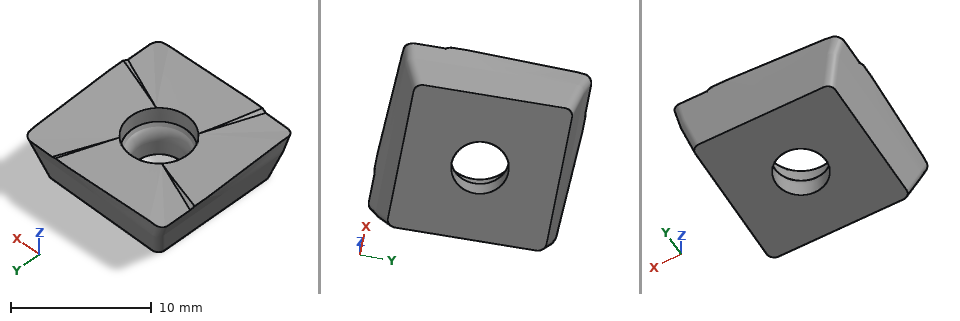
import cadquery as cq
import math

side_count = 4
height = 4.14
waist_height = 2.58
base_half_width = 5.72
waist_half_width = 6.45
base_corner_radius = 0.63
top_corner_radius = 0.7

top_half_width = 7.01
kink_offset = -2.1
lean_end_half_width = 6.65

dish_depth = 0.24
rim_height = height - dish_depth

rim_radius = 2.8
seat_wall_radius = 2.72
seat_radius = 2.52
bore_radius = 2.05
wall_depth = 1.29
seat_depth = 1.6
bore_depth = 2.57

relief_apex_x = -1.82
relief_apex_y = -2.1
relief_outer_y = -7.71
relief_floor_height = 3.98
relief_wall_top_height = 4.36
relief_wall_left_x = -10.1
relief_floor_left_x = -7.01
relief_floor_right_x = -4.07
relief_wall_right_x = -3.11


def rounded_outline(half_width, corner_x, middle_x, radius, z):
    """Make a four-sided outline with a point along each side and rounded corners."""
    points = []
    corners = []
    x, y = corner_x, -half_width
    middle = (middle_x, -half_width)
    for _ in range(side_count):
        points += [cq.Vector(x, y, z), cq.Vector(*middle, z)]
        corners.append(cq.Vector(x, y, z))
        x, y = -y, x
        middle = (-middle[1], middle[0])
    wire = cq.Wire.makePolygon(points, close=True)
    tolerance = 1.4e-05
    corner_vertices = [
        vertex
        for vertex in wire.Vertices()
        if any((vertex.Center() - corner).Length < tolerance for corner in corners)
    ]
    return wire.fillet2D(radius, corner_vertices)


def make_top_outline():
    return rounded_outline(
        top_half_width, -lean_end_half_width, kink_offset, top_corner_radius, height
    )


def make_body():
    base = rounded_outline(base_half_width, -base_half_width, 0, base_corner_radius, 0)
    waist = rounded_outline(
        waist_half_width, -waist_half_width, 0, base_corner_radius, waist_height
    )
    lower = cq.Solid.makeLoft([base, waist], True)
    upper = cq.Solid.makeLoft([waist, make_top_outline()], True)
    return cq.Workplane(obj=lower).union(cq.Workplane(obj=upper))


def rim_point(angle):
    return cq.Vector(rim_radius * math.cos(angle), rim_radius * math.sin(angle), rim_height)


def make_dish():
    """Loft from the top outline to a rim divided into arcs facing the outline's edges."""
    outline = make_top_outline()
    arcs = []
    for edge in outline.Edges():
        start, end = edge.startPoint(), edge.endPoint()
        start_angle = math.atan2(start.y, start.x)
        sweep = math.remainder(math.atan2(end.y, end.x) - start_angle, 2 * math.pi)
        arc_points = [rim_point(start_angle + sweep * part) for part in (0, 0.5, 1)]
        arcs.append(cq.Edge.makeThreePointArc(*arc_points))
    rim = cq.Wire.assembleEdges(arcs)
    return cq.Workplane(obj=cq.Solid.makeLoft([rim, outline], True))


def make_hole():
    """Revolve the stepped bore, whose seat curves smoothly into the through hole."""
    bore_top = rim_height - bore_depth
    return (
        cq.Workplane("XZ")
        .moveTo(0, 0)
        .lineTo(bore_radius, 0)
        .lineTo(bore_radius, bore_top)
        .tangentArcPoint((seat_radius, rim_height - seat_depth), relative=False)
        .lineTo(seat_wall_radius, rim_height - wall_depth)
        .lineTo(rim_radius, rim_height)
        .lineTo(rim_radius, height)
        .lineTo(0, height)
        .close()
        .revolve(360, (0, 0, 0), (0, 1, 0))
    )


def make_relief():
    """Make a pyramid lying on its side, with its walls rising above the dished top."""
    apex = cq.Vector(relief_apex_x, relief_apex_y, rim_height)
    outer = [
        cq.Vector(relief_wall_left_x, relief_outer_y, relief_wall_top_height),
        cq.Vector(relief_floor_left_x, relief_outer_y, relief_floor_height),
        cq.Vector(relief_floor_right_x, relief_outer_y, relief_floor_height),
        cq.Vector(relief_wall_right_x, relief_outer_y, relief_wall_top_height),
    ]
    outlines = [outer]
    for index, point in enumerate(outer):
        outlines.append([apex, outer[index - 1], point])
    faces = [cq.Face.makeFromWires(cq.Wire.makePolygon(outline, close=True)) for outline in outlines]
    return cq.Workplane(obj=cq.Solid.makeSolid(cq.Shell.makeShell(faces)))


result = make_body().cut(make_dish()).cut(make_hole())
relief = make_relief()
for side in range(side_count):
    angle = side * 360 / side_count
    result = result.cut(relief.rotate((0, 0, 0), (0, 0, 1), angle))